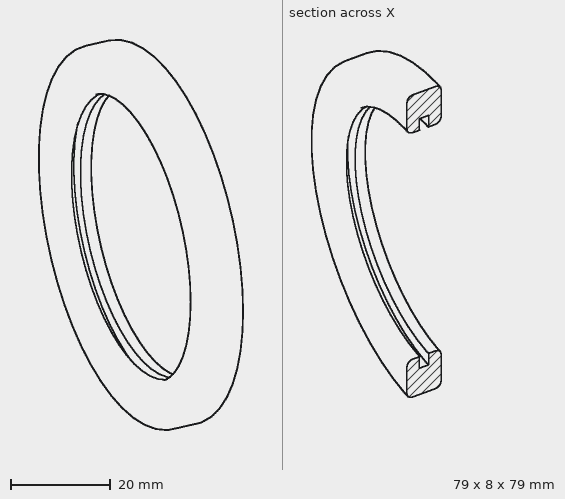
import cadquery as cq

outer_diameter = 79.0
inner_diameter = 59.0
thickness = 8.0
edge_radius = 1.5
groove_width = 2.0
groove_depth = 3.0


def make_ring(bore_diameter, rim_diameter, width):
    """Plain ring about the Y axis, centred on the origin."""
    return (
        cq.Workplane("XZ", origin=(0, width / 2, 0))
        .circle(rim_diameter / 2)
        .circle(bore_diameter / 2)
        .extrude(width)
    )


def round_edges(ring):
    """Round the outer and inner rims of both flat faces."""
    return ring.faces("<Y or >Y").edges().fillet(edge_radius)


def cut_inner_groove(ring):
    """Cut a square-bottomed groove around the middle of the bore."""
    groove_diameter = inner_diameter + 2 * groove_depth
    groove = make_ring(inner_diameter, groove_diameter, groove_width)
    return ring.cut(groove)


body = round_edges(make_ring(inner_diameter, outer_diameter, thickness))
result = cut_inner_groove(body)